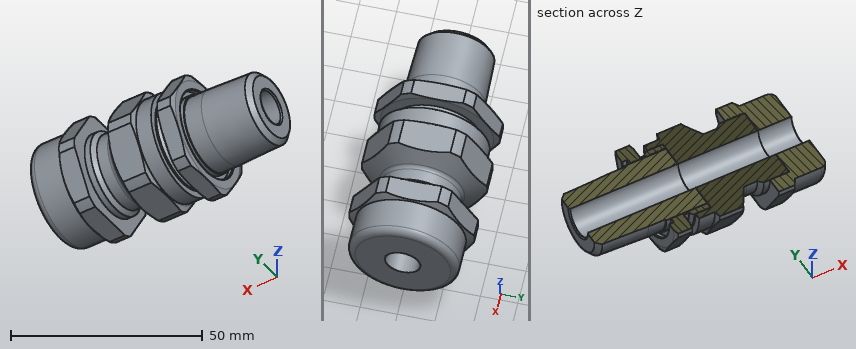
import cadquery as cq
import math


OVERALL_LENGTH = 66.71
ACROSS_FLATS = 30.5
CORNER_RADIUS = 33.53 / 2
WASHER_FACE_RADIUS = 15.15
SHALLOW_CHAMFER = 0.42
CONE_ANGLE = math.radians(60)
STEEP_SLOPE = math.tan(CONE_ANGLE)
BARREL_RADIUS = 14.8

BORE_RADIUS = 4.75
BORE_CHAMFER = 0.4
TAPER_LENGTH = 15.0
DIAMETER_TAPER = 1 / 16
THREAD_RADIUS = 10.75
THREAD_END_RADIUS = THREAD_RADIUS - TAPER_LENGTH * DIAMETER_TAPER / 2
THREAD_CHAMFER = 1.5
SHANK_RADIUS = 11.15

UNION_START = 20.2
UNION_HEX_LENGTH = 5.0
UNION_HEX_END = UNION_START + UNION_HEX_LENGTH
RECESS_RADIUS = 12.5
RECESS_CHAMFER = 0.25
RECESS_DEPTH = 1.4
UNION_NECK_RADIUS = 11.75
UNION_THREAD_RADIUS = 12.9
UNION_THREAD_START = 26.6
UNION_THREAD_LEAD_IN = 0.95

COLLAR_START = 28.0
BODY_HEX_START = 32.7
BODY_HEX_CORNER_END = 40.2
BODY_NECK_RADIUS = 10.75
NECK_FILLET = 1.3
BODY_THREAD_RADIUS = 12.0
BODY_THREAD_START = 47.7

BACK_NUT_START = 50.75
BACK_HEX_CORNER_END = 55.6
BACK_HEX_END = BACK_HEX_CORNER_END + (CORNER_RADIUS - BARREL_RADIUS) / STEEP_SLOPE
BACK_END_FILLET = 2.0


def turned(points):
    """Revolve a closed (axial position, radius) outline about X."""
    return cq.Workplane("XZ").polyline(points).close().revolve(360, (0, 0), (1, 0))


def cylinder(start, end, radius):
    """Solid cylinder along X between two axial positions."""
    return cq.Workplane("YZ").workplane(offset=start).circle(radius).extrude(end - start)


def hexagon(start, end):
    """Hexagonal prism along X with its corners toward +Y and -Y."""
    corner_to_corner = ACROSS_FLATS / math.cos(math.pi / 6)
    return cq.Workplane("YZ").workplane(offset=start).polygon(6, corner_to_corner).extrude(end - start)


def make_entry_spigot():
    """Tapered male thread with a slightly larger plain shank from the nut face on."""
    bore_mouth_radius = BORE_RADIUS + BORE_CHAMFER
    return turned([
        (0, bore_mouth_radius),
        (0, THREAD_END_RADIUS - THREAD_CHAMFER),
        (THREAD_CHAMFER, THREAD_END_RADIUS),
        (TAPER_LENGTH, THREAD_RADIUS),
        (UNION_START, THREAD_RADIUS),
        (UNION_START, SHANK_RADIUS),
        (BODY_HEX_START, SHANK_RADIUS),
        (BODY_HEX_START, BORE_RADIUS),
        (BORE_CHAMFER, BORE_RADIUS),
    ])


def make_union_nut():
    """Hexagon around the spigot shank, with a neck and a thread that fills the body collar."""
    head = turned([
        (UNION_START, 0),
        (UNION_START, WASHER_FACE_RADIUS),
        (UNION_START + SHALLOW_CHAMFER, CORNER_RADIUS),
        (UNION_HEX_END - SHALLOW_CHAMFER, CORNER_RADIUS),
        (UNION_HEX_END, WASHER_FACE_RADIUS),
        (UNION_HEX_END, 0),
    ]).intersect(hexagon(UNION_START, UNION_HEX_END))
    neck_and_thread = turned([
        (UNION_HEX_END, 0),
        (UNION_HEX_END, UNION_NECK_RADIUS),
        (UNION_THREAD_START, UNION_NECK_RADIUS),
        (UNION_THREAD_START, UNION_THREAD_RADIUS - UNION_THREAD_LEAD_IN),
        (UNION_THREAD_START + UNION_THREAD_LEAD_IN, UNION_THREAD_RADIUS),
        (BODY_HEX_START, UNION_THREAD_RADIUS),
        (BODY_HEX_START, 0),
    ])
    recess = turned([
        (UNION_START, 0),
        (UNION_START, RECESS_RADIUS + RECESS_CHAMFER),
        (UNION_START + RECESS_CHAMFER, RECESS_RADIUS),
        (UNION_START + RECESS_DEPTH, RECESS_RADIUS),
        (UNION_START + RECESS_DEPTH, 0),
    ])
    shank_hole = cylinder(UNION_START, BODY_HEX_START, SHANK_RADIUS)
    return head.union(neck_and_thread).cut(recess).cut(shank_hole)


def make_main_body():
    """Round collar and hexagon, then a cone blending into a neck and the back nut's thread."""
    cone_length = (CORNER_RADIUS - BODY_NECK_RADIUS) / STEEP_SLOPE
    cone_end = BODY_HEX_CORNER_END + cone_length
    fillet_reach = NECK_FILLET * math.tan(CONE_ANGLE / 2)
    fillet_start = (
        cone_end - fillet_reach * math.cos(CONE_ANGLE),
        BODY_NECK_RADIUS + fillet_reach * math.sin(CONE_ANGLE),
    )
    fillet_end = (cone_end + fillet_reach, BODY_NECK_RADIUS)
    fillet_middle = (
        fillet_end[0] - NECK_FILLET * math.sin(CONE_ANGLE / 2),
        BODY_NECK_RADIUS + NECK_FILLET * (1 - math.cos(CONE_ANGLE / 2)),
    )
    turned_hex = (
        cq.Workplane("XZ")
        .moveTo(BODY_HEX_START, 0)
        .lineTo(BODY_HEX_START, WASHER_FACE_RADIUS)
        .lineTo(BODY_HEX_START + SHALLOW_CHAMFER, CORNER_RADIUS)
        .lineTo(BODY_HEX_CORNER_END, CORNER_RADIUS)
        .lineTo(*fillet_start)
        .threePointArc(fillet_middle, fillet_end)
        .lineTo(BODY_THREAD_START, BODY_NECK_RADIUS)
        .lineTo(BODY_THREAD_START, 0)
        .close()
        .revolve(360, (0, 0), (1, 0))
        .intersect(hexagon(BODY_HEX_START, BODY_THREAD_START))
    )
    lead_in = BODY_THREAD_RADIUS - BODY_NECK_RADIUS
    thread = turned([
        (BODY_THREAD_START, 0),
        (BODY_THREAD_START, BODY_NECK_RADIUS),
        (BODY_THREAD_START + lead_in, BODY_THREAD_RADIUS),
        (BACK_HEX_END, BODY_THREAD_RADIUS),
        (BACK_HEX_END, 0),
    ])
    collar = cylinder(COLLAR_START, BODY_HEX_START, BARREL_RADIUS)
    union_socket = cylinder(COLLAR_START, BODY_HEX_START, UNION_THREAD_RADIUS)
    bore = cylinder(BODY_HEX_START, BACK_HEX_END, BORE_RADIUS)
    return turned_hex.union(thread).union(collar).cut(union_socket).cut(bore)


def make_back_nut():
    """Hexagon and round barrel, with a socket for the body thread and a rounded far end."""
    head = turned([
        (BACK_NUT_START, 0),
        (BACK_NUT_START, CORNER_RADIUS),
        (BACK_HEX_CORNER_END, CORNER_RADIUS),
        (BACK_HEX_END, BARREL_RADIUS),
        (BACK_HEX_END, 0),
    ]).intersect(hexagon(BACK_NUT_START, BACK_HEX_END))
    barrel = cylinder(BACK_HEX_END, OVERALL_LENGTH, BARREL_RADIUS).faces(">X").edges().fillet(BACK_END_FILLET)
    thread_socket = cylinder(BACK_NUT_START, BACK_HEX_END, BODY_THREAD_RADIUS)
    bore = cylinder(BACK_HEX_END, OVERALL_LENGTH, BORE_RADIUS)
    return head.union(barrel).cut(thread_socket).cut(bore)


entry_spigot = make_entry_spigot()
union_nut = make_union_nut()
main_body = make_main_body()
back_nut = make_back_nut()

result = cq.Compound.makeCompound([
    entry_spigot.val(),
    union_nut.val(),
    main_body.val(),
    back_nut.val(),
])